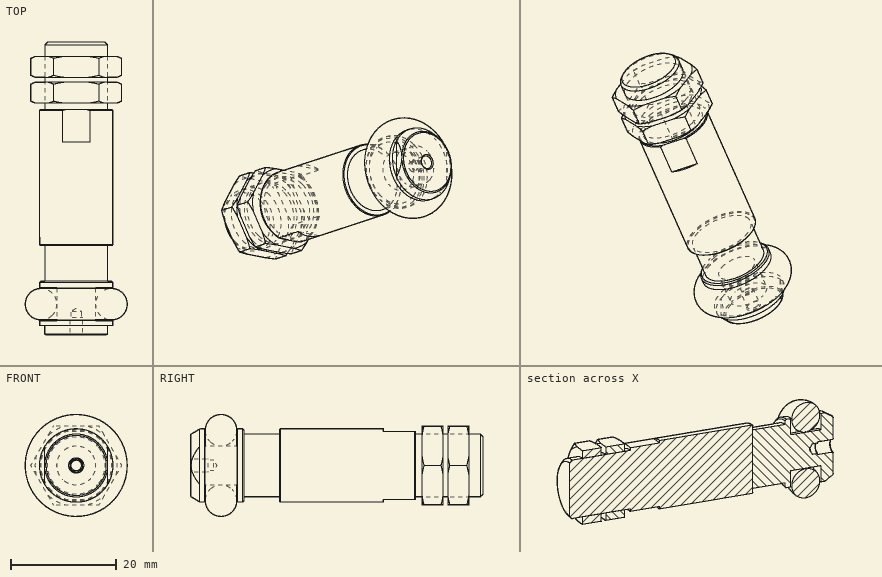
import cadquery as cq
import math

length = 55.8
shank_diameter = 12.0
collar_diameter = 14.0
sleeve_chamfer = 0.15

sleeve_front = 17.0
sleeve_back = 42.9
sleeve_flat_width = 13.0
sleeve_flat_length = 6.15
thread_end_diameter = 10.95
thread_end_chamfer = (shank_diameter - thread_end_diameter) / 2

nut_width = 15.0
nut_thickness = 4.0
nut_fronts = (44.15, 49.05)
nut_face_diameter = 15.6
nut_chamfer_depth = 0.4
nut_corner_diameter = nut_width / math.cos(math.pi / 6)

head_back = 10.25
head_chamfer = 0.3
nose_length = 1.8
nose_edge_height = 0.3
nose_edge_depth = 0.15
nose_flat_width = shank_diameter

hole_rim_diameter = 2.9
hole_thread_diameter = 2.45
hole_core_diameter = 2.0
hole_thread_depth = 3.35
hole_core_depth = 4.45
drill_tip_angle = 118.0

ring_outer_diameter = 19.5
ring_section_radius = 3.0
ring_center = 5.85
ring_center_radius = ring_outer_diameter / 2 - ring_section_radius
groove_width = 6.25


def revolve_profile(points):
    """Solid of revolution about Y from (radius, y) points."""
    return cq.Workplane("XY").polyline(points).close().revolve(360, (0, 0, 0), (0, 1, 0))


def rod(diameter, start, end):
    """Cylinder on the Y axis between two y positions."""
    return cq.Workplane("XZ", origin=(0, start, 0)).circle(diameter / 2).extrude(start - end)


def block(width, height, start, end):
    """Box centred on the Y axis between two y positions."""
    return cq.Workplane("XY").box(width, end - start, height).translate((0, (start + end) / 2, 0))


def make_housing():
    sleeve = rod(collar_diameter, sleeve_front, sleeve_back).edges().chamfer(sleeve_chamfer)
    flat_start = sleeve_back - sleeve_flat_length
    flat_zone = rod(2 * collar_diameter, flat_start, sleeve_back)
    kept_core = block(2 * collar_diameter, sleeve_flat_width, flat_start, sleeve_back)
    sleeve = sleeve.cut(flat_zone.cut(kept_core))
    thread = rod(shank_diameter, sleeve_back, length).faces(">Y").chamfer(thread_end_chamfer)
    return sleeve.union(thread)


def make_nut(front):
    back = front + nut_thickness
    hexagon = (
        cq.Workplane("XZ", origin=(0, front, 0))
        .polygon(6, nut_corner_diameter)
        .extrude(-nut_thickness)
    )
    face_radius = nut_face_diameter / 2
    corner_radius = nut_corner_diameter / 2
    chamfered_envelope = revolve_profile([
        (0, front),
        (face_radius, front),
        (corner_radius, front + nut_chamfer_depth),
        (corner_radius, back - nut_chamfer_depth),
        (face_radius, back),
        (0, back),
    ])
    return hexagon.intersect(chamfered_envelope).cut(rod(shank_diameter, front, back))


def make_ring():
    return (
        cq.Workplane("XY")
        .center(ring_center_radius, ring_center)
        .circle(ring_section_radius)
        .revolve(360, (-ring_center_radius, 0, 0), (-ring_center_radius, 1, 0))
    )


def make_ring_groove():
    start = ring_center - groove_width / 2
    end = ring_center + groove_width / 2
    floor_diameter = 2 * (ring_center_radius - ring_section_radius)
    return rod(2 * collar_diameter, start, end).cut(rod(floor_diameter, start, end))


def make_front_hole():
    rim_radius = hole_rim_diameter / 2
    thread_radius = hole_thread_diameter / 2
    core_radius = hole_core_diameter / 2
    tip_depth = core_radius / math.tan(math.radians(drill_tip_angle / 2))
    return revolve_profile([
        (0, 0),
        (rim_radius, 0),
        (thread_radius, rim_radius - thread_radius),
        (thread_radius, hole_thread_depth),
        (core_radius, hole_thread_depth),
        (core_radius, hole_core_depth),
        (0, hole_core_depth + tip_depth),
    ])


def make_plunger():
    shank_radius = shank_diameter / 2
    head_radius = collar_diameter / 2
    body = revolve_profile([
        (0, 0),
        (shank_radius - nose_edge_height, 0),
        (shank_radius, nose_edge_depth),
        (head_radius, nose_length),
        (head_radius, head_back - head_chamfer),
        (head_radius - head_chamfer, head_back),
        (shank_radius, head_back),
        (shank_radius, sleeve_front),
        (0, sleeve_front),
    ])
    nose_zone = rod(2 * collar_diameter, 0, nose_length)
    kept_nose = block(nose_flat_width, 2 * collar_diameter, 0, nose_length)
    return body.cut(nose_zone.cut(kept_nose)).cut(make_ring_groove()).cut(make_front_hole())


housing = make_housing()
nuts = [make_nut(front) for front in nut_fronts]
plunger = make_plunger()
ring = make_ring()

result = cq.Compound.makeCompound([
    housing.val(),
    *[nut.val() for nut in nuts],
    plunger.val(),
    ring.val(),
])